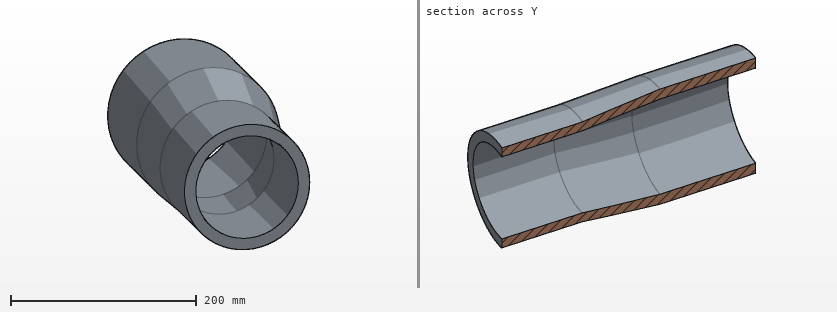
import cadquery as cq

total_length = 308.0
large_length = 116.5
transition_length = 94.0
small_length = total_length - large_length - transition_length

large_outer_diameter = 160.0
large_bore_diameter = 131.0
small_outer_diameter = 140.0
small_bore_diameter = 114.5

small_axis_y = -(large_outer_diameter - small_outer_diameter) / 2

transition_start = large_length
transition_end = large_length + transition_length


def cylinder_along_x(start_x, length, axis_y, diameter):
    plane = cq.Workplane("YZ", origin=(start_x, axis_y, 0))
    return plane.circle(diameter / 2).extrude(length)


def reducer_body(large_diameter, small_diameter):
    """Solid of the large cylinder, the transition and the small cylinder."""
    large = cylinder_along_x(0, large_length, 0, large_diameter)
    transition = (
        cq.Workplane("YZ", origin=(transition_start, 0, 0))
        .circle(large_diameter / 2)
        .workplane(offset=transition_length)
        .center(small_axis_y, 0)
        .circle(small_diameter / 2)
        .loft(ruled=True)
    )
    small = cylinder_along_x(transition_end, small_length, small_axis_y, small_diameter)
    return large.union(transition).union(small)


outer_body = reducer_body(large_outer_diameter, small_outer_diameter)
bore = reducer_body(large_bore_diameter, small_bore_diameter)

result = outer_body.cut(bore)